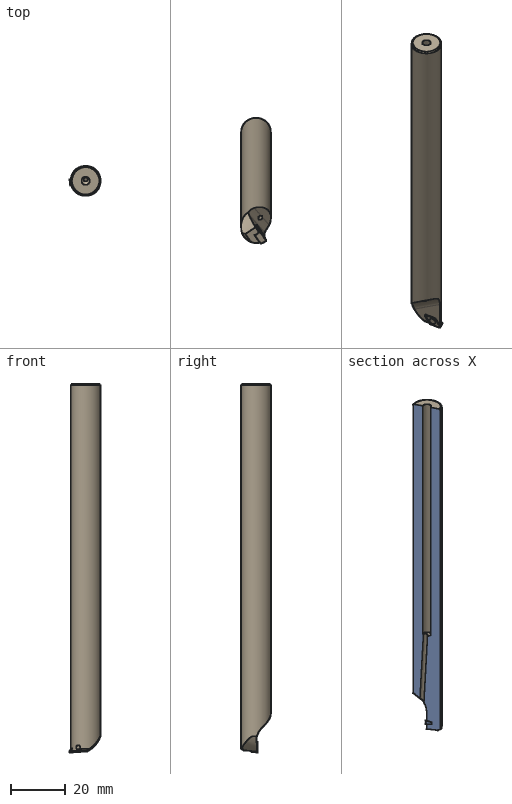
import cadquery as cq
import math


OVERALL_LENGTH = 135.01
SHANK_DIAMETER = 11.0
SHANK_RADIUS = SHANK_DIAMETER / 2
TOP_CHAMFER_WIDTH = 0.5
TOP_CHAMFER_HEIGHT = 0.5

FLAT_Y = 0.2
RUNOUT_Z = 12.35
RUNOUT_TILT = 31.0
RUNOUT_RADIUS = 4.5
RUNOUT_RAMP = 29.0

END_Z = 0.4
END_RELIEF = 4.5
CORNER_START_X = 0.6
CORNER_TOP_Z = 6.0
CORNER_BULGE = 0.7
HEEL_DEPTH = 1.1
HEEL_TOP_Z = 1.5
HEEL_HEIGHT = 0.7

BORE_DIAMETER = 3.0
BORE_END_Z = 40.0
DRILL_POINT = 118.0
OUTLET_DIAMETER = 1.5
OUTLET_START_Y = 0.5
OUTLET_Y = 1.9
OUTLET_Z = 12.5
OUTLET_OVERRUN = 2.0

INSERT_TOP_Y = 0.6
INSERT_THICKNESS = 2.38
INSERT_RELIEF = 6.5
NOSE_X = -5.96
NOSE_RADIUS = 0.35
INSERT_SIDE = 4.35
END_EDGE_LEAN = 4.0
SIDE_EDGE_LEAN = 35.0

SCREW_DIAMETER = 1.5
SCREW_HEAD_DIAMETER = 2.4
SCREW_HEAD_HEIGHT = 0.8
SCREW_END_Y = -4.0

CLEAR = 30.0


def direction(angle):
    """Unit vector in X-Z outline coordinates, at an angle in degrees from +X towards +Z."""
    return cq.Vector(math.cos(math.radians(angle)), math.sin(math.radians(angle)), 0)


nose_centre = cq.Vector(NOSE_X + NOSE_RADIUS, NOSE_RADIUS, 0)
core_side = INSERT_SIDE - 2 * NOSE_RADIUS
end_edge = direction(END_EDGE_LEAN) * core_side
side_edge = direction(90 - SIDE_EDGE_LEAN) * core_side
insert_centre = nose_centre + (end_edge + side_edge) * 0.5


def xz_plane(y):
    """Sketch plane at the given Y, with its normal towards -Y."""
    return cq.Workplane("XZ", origin=(0, y, 0))


def make_insert_blank():
    corners = [
        nose_centre,
        nose_centre + end_edge,
        nose_centre + end_edge + side_edge,
        nose_centre + side_edge,
    ]
    outline = xz_plane(INSERT_TOP_Y).polyline([(p.x, p.y) for p in corners]).close()
    return outline.offset2D(NOSE_RADIUS).extrude(INSERT_THICKNESS, taper=INSERT_RELIEF)


def make_screw():
    head_radius = SCREW_HEAD_DIAMETER / 2
    shaft_radius = SCREW_DIAMETER / 2
    length = INSERT_TOP_Y - SCREW_END_Y
    half_section = (
        cq.Workplane("XY", origin=(insert_centre.x, INSERT_TOP_Y, insert_centre.y))
        .lineTo(head_radius, 0)
        .lineTo(shaft_radius, -SCREW_HEAD_HEIGHT)
        .lineTo(shaft_radius, -length)
        .lineTo(0, -length)
        .close()
    )
    return half_section.revolve(360, (0, 0, 0), (0, 1, 0))


def make_shank_blank():
    """Round bar with a chamfered top."""
    half_section = (
        cq.Workplane("XZ")
        .lineTo(SHANK_RADIUS, 0)
        .lineTo(SHANK_RADIUS, OVERALL_LENGTH - TOP_CHAMFER_HEIGHT)
        .lineTo(SHANK_RADIUS - TOP_CHAMFER_WIDTH, OVERALL_LENGTH)
        .lineTo(0, OVERALL_LENGTH)
        .close()
    )
    return half_section.revolve(360, (0, 0, 0), (0, 1, 0))


def make_flat_cut():
    """Everything in front of the flat and below the run-out."""
    tilt = math.radians(RUNOUT_TILT)
    ramp = math.radians(RUNOUT_RAMP)
    turn = math.pi / 2 - ramp
    tangent_y = FLAT_Y + RUNOUT_RADIUS * (1 - math.cos(turn))
    arc_start = -RUNOUT_RADIUS * math.sin(turn)
    arc_mid_y = FLAT_Y + RUNOUT_RADIUS * (1 - math.cos(turn / 2))
    arc_mid = arc_start + RUNOUT_RADIUS * math.sin(turn / 2)
    plane = cq.Plane(
        origin=(0, 0, RUNOUT_Z),
        xDir=(0, 1, 0),
        normal=(math.cos(tilt), 0, -math.sin(tilt)),
    )
    return (
        cq.Workplane(plane)
        .moveTo(FLAT_Y, -CLEAR)
        .lineTo(FLAT_Y, arc_start)
        .threePointArc((arc_mid_y, arc_mid), (tangent_y, 0))
        .lineTo(CLEAR, (CLEAR - tangent_y) * math.tan(ramp))
        .lineTo(CLEAR, -CLEAR)
        .close()
        .extrude(CLEAR, both=True)
    )


def make_end_cut():
    """Everything beyond the end face and rounded corner, growing towards -Y to give the relief."""
    run = SHANK_RADIUS - CORNER_START_X
    rise = CORNER_TOP_Z - END_Z
    chord = math.hypot(run, rise)
    bulge_x = CORNER_START_X + run / 2 + CORNER_BULGE * rise / chord
    bulge_z = END_Z + rise / 2 - CORNER_BULGE * run / chord
    outline = (
        xz_plane(INSERT_TOP_Y)
        .moveTo(-CLEAR, END_Z)
        .lineTo(CORNER_START_X, END_Z)
        .threePointArc((bulge_x, bulge_z), (SHANK_RADIUS, CORNER_TOP_Z))
        .lineTo(CLEAR, CORNER_TOP_Z)
        .lineTo(CLEAR, -CLEAR)
        .lineTo(-CLEAR, -CLEAR)
        .close()
    )
    return outline.extrude(SHANK_DIAMETER, taper=-END_RELIEF)


def make_heel_cut():
    """Slanted facet where the end face meets the -Y side of the shank."""
    return (
        cq.Workplane("YZ", origin=(-CLEAR, 0, 0))
        .moveTo(-SHANK_RADIUS, HEEL_TOP_Z)
        .lineTo(-SHANK_RADIUS, 0)
        .lineTo(-SHANK_RADIUS + HEEL_DEPTH, 0)
        .lineTo(-SHANK_RADIUS + HEEL_DEPTH, HEEL_TOP_Z - HEEL_HEIGHT)
        .close()
        .extrude(2 * CLEAR)
    )


def make_coolant_cut():
    bore_radius = BORE_DIAMETER / 2
    tip_z = BORE_END_Z - bore_radius / math.tan(math.radians(DRILL_POINT / 2))
    bore = (
        cq.Workplane("XZ")
        .moveTo(0, tip_z)
        .lineTo(bore_radius, BORE_END_Z)
        .lineTo(bore_radius, OVERALL_LENGTH)
        .lineTo(0, OVERALL_LENGTH)
        .close()
        .revolve(360, (0, 0, 0), (0, 1, 0))
    )
    start = cq.Vector(0, OUTLET_START_Y, BORE_END_Z)
    axis = cq.Vector(0, OUTLET_Y, OUTLET_Z) - start
    plane = cq.Plane(origin=start.toTuple(), xDir=(1, 0, 0), normal=axis.toTuple())
    outlet = cq.Workplane(plane).circle(OUTLET_DIAMETER / 2).extrude(axis.Length + OUTLET_OVERRUN)
    return bore.union(outlet)


def make_screw_hole():
    """Through hole for the screw, open on the -Y side of the shank."""
    start = xz_plane(INSERT_TOP_Y).center(insert_centre.x, insert_centre.y)
    return start.circle(SCREW_DIAMETER / 2).extrude(SHANK_DIAMETER)


insert_blank = make_insert_blank()
screw = make_screw()
insert = insert_blank.cut(screw)
shank = (
    make_shank_blank()
    .cut(make_flat_cut())
    .cut(make_end_cut())
    .cut(make_heel_cut())
    .cut(make_coolant_cut())
    .cut(insert_blank)
    .cut(make_screw_hole())
)

result = cq.Compound.makeCompound([shank.val(), insert.val(), screw.val()])